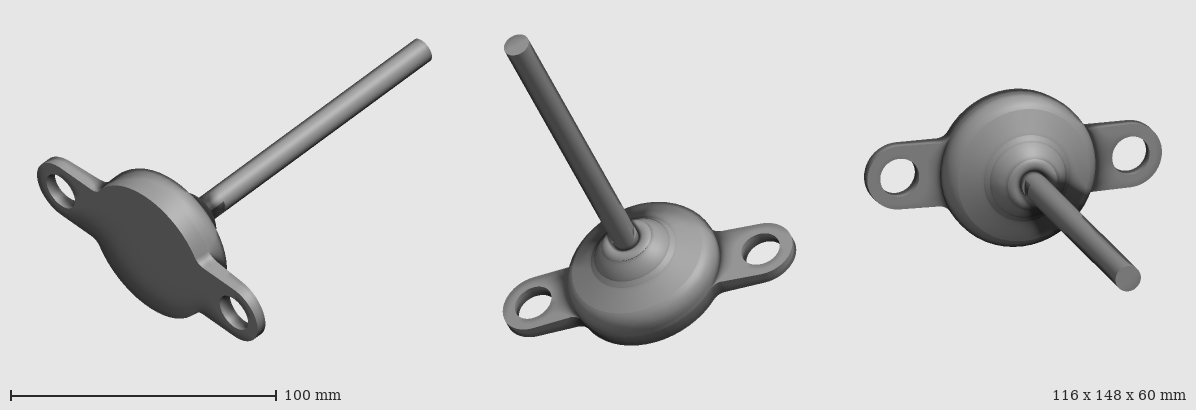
import cadquery as cq
import math


disc_radius = 30.0
sole_radius = 29.2
disc_height = 6.2
side_top_height = 9.0
shoulder_radius = 7.8
shoulder_end_height = 15.8
neck_radius = 17.0
neck_height = 19.8

lug_spacing = 91.0
lug_radius = 12.5
lug_hole_diameter = 15.0
lug_tip_height = 4.2
lug_slope_start = 28.0
lug_root_fillet = 5.0
root_tolerance = 0.01

overall_length = 148.0
rod_radius = 5.0
ball_radius = 18.6
ball_center_height = 10.3
ball_exit_height = 21.2
collar_bottom = 26.4
collar_rim_radius = 9.8
collar_rim_height = 27.1
collar_top = 28.0
flats_width = 8.0
flats_start = 30.2
flats_length = 6.8


def ball_section_radius(height):
    """Radius of the ball's circular section at a given height along Y."""
    return math.sqrt(ball_radius**2 - (height - ball_center_height) ** 2)


def revolve_about_y(profile):
    """Close a half profile drawn in XY and spin it about the joint axis."""
    return profile.close().revolve(360, (0, 0, 0), (0, 1, 0))


def make_ball_segment(top_height):
    """Ball cut flat at its centre plane and at top_height."""
    top_radius = ball_section_radius(top_height)
    middle_height = (ball_center_height + top_height) / 2
    return revolve_about_y(
        cq.Workplane("XY")
        .moveTo(0, ball_center_height)
        .lineTo(ball_radius, ball_center_height)
        .threePointArc((ball_section_radius(middle_height), middle_height), (top_radius, top_height))
        .lineTo(0, top_height)
    )


def make_base():
    """Base disc and lugs, with filleted corners where they meet."""
    disc = revolve_about_y(
        cq.Workplane("XY")
        .lineTo(sole_radius, 0)
        .lineTo(disc_radius, disc_height)
        .lineTo(0, disc_height)
    )
    lugs = (
        cq.Workplane("XZ")
        .slot2D(lug_spacing + 2 * lug_radius, 2 * lug_radius)
        .extrude(-disc_height)
    )
    base = disc.union(lugs)
    root_edges = [
        edge
        for edge in base.edges().vals()
        if abs(edge.Center().x) < disc_radius
        and abs(abs(edge.Center().z) - lug_radius) < root_tolerance
        and edge.BoundingBox().ylen > disc_height / 2
    ]
    return base.newObject(root_edges).fillet(lug_root_fillet)


def make_lug_relief(side):
    """Wedge that slopes a lug's top face down toward its tip."""
    tip = lug_spacing / 2 + lug_radius
    return (
        cq.Workplane("XY")
        .moveTo(side * lug_slope_start, disc_height)
        .lineTo(side * tip, lug_tip_height)
        .lineTo(side * tip, disc_height)
        .close()
        .extrude(lug_radius, both=True)
    )


def make_shell():
    """Domed upper part of the foot, up to the lip around the ball."""
    shoulder_center = disc_radius - shoulder_radius
    end_angle = math.asin((shoulder_end_height - side_top_height) / shoulder_radius)

    def shoulder_point(angle):
        return (
            shoulder_center + shoulder_radius * math.cos(angle),
            side_top_height + shoulder_radius * math.sin(angle),
        )

    return revolve_about_y(
        cq.Workplane("XY")
        .moveTo(0, disc_height)
        .lineTo(disc_radius, disc_height)
        .lineTo(disc_radius, side_top_height)
        .threePointArc(shoulder_point(end_angle / 2), shoulder_point(end_angle))
        .lineTo(neck_radius, neck_height)
        .lineTo(ball_section_radius(ball_exit_height), ball_exit_height)
        .lineTo(0, ball_exit_height)
    )


def make_foot():
    """Base and shell in one piece, with the bolt holes and the ball socket cut out."""
    foot = make_base()
    for side in (-1, 1):
        foot = foot.cut(make_lug_relief(side))
    holes = (
        cq.Workplane("XZ")
        .pushPoints([(-lug_spacing / 2, 0), (lug_spacing / 2, 0)])
        .circle(lug_hole_diameter / 2)
        .extrude(-disc_height)
    )
    return foot.cut(holes).union(make_shell()).cut(make_ball_segment(ball_exit_height))


def make_collar():
    """Collar with an undercut rim and a rounded top that dips toward the rod."""
    return revolve_about_y(
        cq.Workplane("XY")
        .moveTo(0, collar_bottom)
        .lineTo(ball_section_radius(collar_bottom), collar_bottom)
        .lineTo(collar_rim_radius, collar_rim_height)
        .threePointArc(
            ((collar_rim_radius + rod_radius) / 2, collar_top),
            (rod_radius, collar_rim_height),
        )
        .lineTo(0, collar_rim_height)
    )


def make_rod():
    """Round rod with two parallel spanner flats just above the collar."""
    rod = (
        cq.Workplane("XZ", origin=(0, collar_bottom, 0))
        .circle(rod_radius)
        .extrude(collar_bottom - overall_length)
    )
    flat_depth = rod_radius - flats_width / 2
    flat_cutter = cq.Workplane("XY").box(flat_depth, flats_length, 2 * rod_radius)
    for side in (-1, 1):
        flat_x = side * (rod_radius - flat_depth / 2)
        rod = rod.cut(flat_cutter.translate((flat_x, flats_start + flats_length / 2, 0)))
    return rod


def make_stud():
    """Ball, collar and rod in one piece."""
    return make_ball_segment(collar_bottom).union(make_collar()).union(make_rod())


foot = make_foot()
stud = make_stud()

result = cq.Compound.makeCompound([foot.solids().val(), stud.solids().val()])